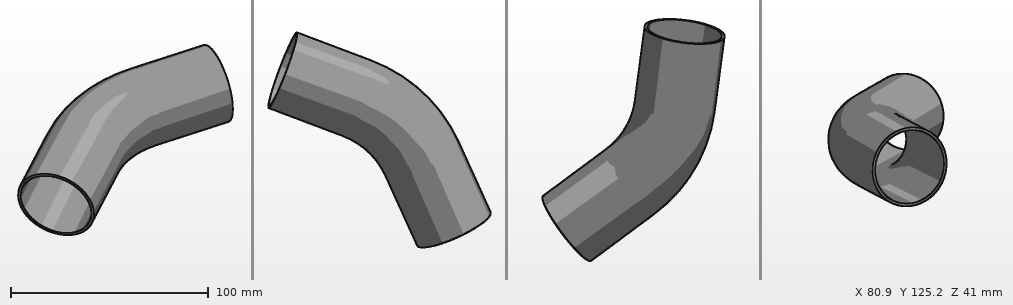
import cadquery as cq
import math

overall_length = 125.2
outer_diameter = 41.0
inner_diameter = 38.0
straight_length = 40.1
bend_angle = 45.0

outer_radius = outer_diameter / 2
bend_sin = math.sin(math.radians(bend_angle))
bend_cos = math.cos(math.radians(bend_angle))
bend_radius = (overall_length - straight_length) / bend_sin - straight_length - outer_radius

bend_start = (0, straight_length)
bend_end = (bend_radius * (1 - bend_cos), straight_length + bend_radius * bend_sin)


def pipe_ring(workplane):
    """Draw the annular pipe section on a workplane."""
    return workplane.circle(outer_diameter / 2).circle(inner_diameter / 2)


def straight_pipe(start, direction):
    """Straight pipe end running from a centreline point in the XY plane."""
    plane = cq.Plane(origin=(*start, 0), xDir=(0, 0, 1), normal=(*direction, 0))
    return pipe_ring(cq.Workplane(plane)).extrude(straight_length)


def bend_pipe():
    """Curved middle section turning from +Y towards +X."""
    section = pipe_ring(cq.Workplane("XZ", origin=(*bend_start, 0)))
    return section.revolve(bend_angle, (bend_radius, 1.3, 0), (bend_radius, 0, 0))


inlet = straight_pipe((0, 0), (0, 1))
outlet = straight_pipe(bend_end, (bend_sin, bend_cos))
result = inlet.union(bend_pipe()).union(outlet)